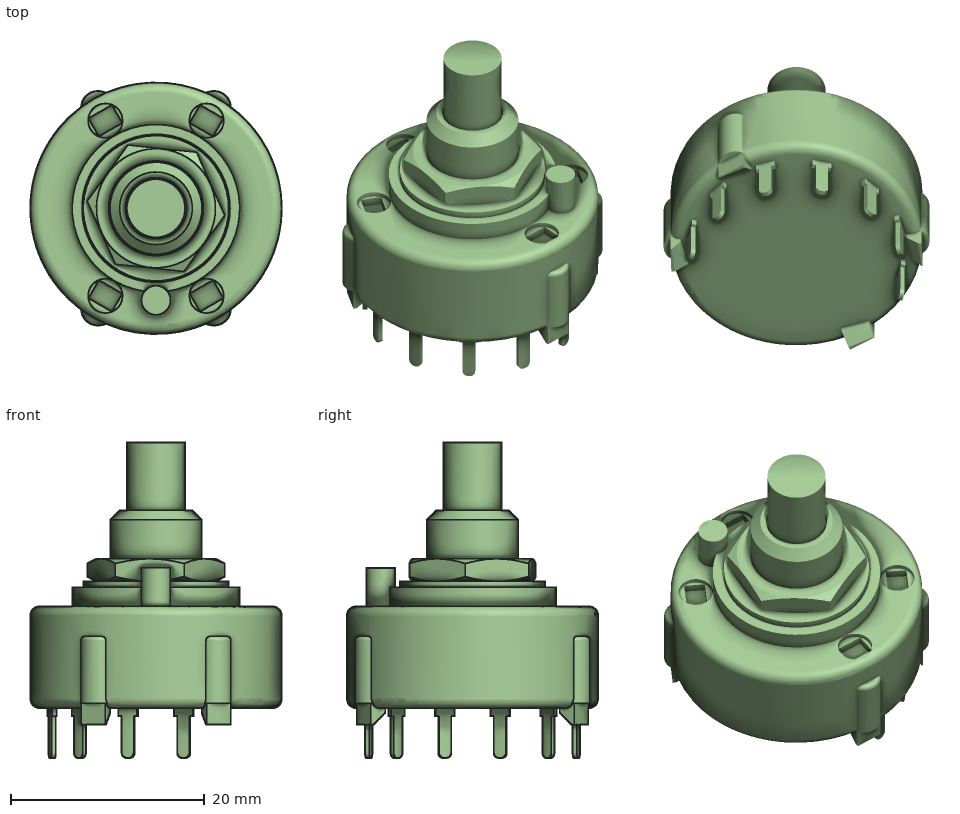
import cadquery as cq
import math

OVERLAP = 0.4

HOUSING_D = 26.0
HOUSING_H = 10.53
HOUSING_EDGE_R = 1.0

FLANGE_D = 17.3
FLANGE_TOP = 12.5
SEAT_D = 15.3
SEAT_DEPTH = 0.3

WASHER_D = 15.0
WASHER_TOP = FLANGE_TOP + 0.6
NUT_CORNER_D = 14.3
NUT_FACE_D = 12.3
NUT_H = 2.35
NUT_CHAMFER_H = 0.5
NUT_TURN = -6.0
NUT_BORE_D = 9.8
NUT_BORE_DEPTH = 0.3
NUT_TOP = WASHER_TOP + NUT_H
BUSHING_D = 9.5
BUSHING_TOP = 20.45
BUSHING_CHAMFER = 1.0
BORE_D = 6.35
BORE_DEPTH = 1.0
SHAFT_D = 6.0
SHAFT_TOP = 27.46

POST_D = 3.0
POST_Y = -9.5
POST_TOP = 14.5

LEG_ANGLE = 60
RIB_D = 3.55
RIB_CENTER_R = 11.95
RIB_TOP = 7.45
RIB_EDGE_R = 0.45
FOOT_TOP = 0.5
FOOT_BOTTOM = -1.7
FOOT_W = 2.9
HOOK_Z = -0.45
LONG_SIDE_HOOK_L = 1.75
LONG_SIDE_TOE_L = 0.35
SHORT_SIDE_HOOK_L = 1.05
SHORT_SIDE_TOE_L = 0.12
FOOT_FACE_R = RIB_CENTER_R + math.sqrt((RIB_D / 2) ** 2 - (FOOT_W / 2) ** 2)
WINDOW_CENTER_R = 10.45
WINDOW_RECESS_DEPTH = 0.5
WINDOW_W = 2.8
WINDOW_L = 2.15
WINDOW_DEPTH = WINDOW_RECESS_DEPTH + 0.9

PIN_CIRCLE_R = 11.1
PIN_FIRST_ANGLE = 75
PIN_PITCH = 30
PIN_COUNT = 7
PIN_W = 1.3
PIN_T = 0.47
PIN_TIP_R = 0.57
PIN_BOTTOM = -5.15
SHOULDER_W = 2.0
SHOULDER_BOTTOM = -0.8


def cylinder(diameter, bottom, top):
    return cq.Workplane("XY").workplane(offset=bottom).circle(diameter / 2).extrude(top - bottom)


def box(length, width, bottom, top):
    return cq.Workplane("XY").workplane(offset=bottom).rect(length, width).extrude(top - bottom)


def placed(shape, angle):
    """Turn a shape built along +X to its angle around the shaft axis."""
    return shape.rotate((0, 0, 0), (0, 0, 1), angle)


def make_housing():
    drum = cylinder(HOUSING_D, 0, HOUSING_H).edges().fillet(HOUSING_EDGE_R)
    flange = cylinder(FLANGE_D, HOUSING_H - OVERLAP, FLANGE_TOP)
    seat = cylinder(SEAT_D, FLANGE_TOP - SEAT_DEPTH, FLANGE_TOP)
    post = cylinder(POST_D, HOUSING_H - OVERLAP, POST_TOP).translate((0, POST_Y, 0))
    return drum.union(flange).cut(seat).union(post)


def make_nut():
    """Hexagon nut whose corners are trimmed by a cone at both faces."""
    hexagon = (
        cq.Workplane("XY")
        .workplane(offset=WASHER_TOP)
        .polygon(6, NUT_CORNER_D)
        .extrude(NUT_H)
    )
    corner_trim = (NUT_CORNER_D - NUT_FACE_D) / 2
    envelope = cylinder(NUT_CORNER_D, WASHER_TOP, NUT_TOP)
    envelope = envelope.faces(">Z").chamfer(NUT_CHAMFER_H, corner_trim)
    envelope = envelope.faces("<Z").chamfer(NUT_CHAMFER_H, corner_trim)
    bore = cylinder(NUT_BORE_D, NUT_TOP - NUT_BORE_DEPTH, NUT_TOP)
    return hexagon.intersect(envelope).cut(bore).rotate((0, 0, 0), (0, 0, 1), NUT_TURN)


def make_spindle():
    """Washer, nut, bushing and shaft."""
    washer = cylinder(WASHER_D, FLANGE_TOP - SEAT_DEPTH - OVERLAP, WASHER_TOP)
    bushing = cylinder(BUSHING_D, WASHER_TOP - OVERLAP, BUSHING_TOP)
    bushing = bushing.faces(">Z").chamfer(BUSHING_CHAMFER)
    bore = cylinder(BORE_D, BUSHING_TOP - BORE_DEPTH, BUSHING_TOP)
    shaft = cylinder(SHAFT_D, BUSHING_TOP - BORE_DEPTH - OVERLAP, SHAFT_TOP)
    return washer.union(make_nut()).union(bushing).cut(bore).union(shaft)


def foot_outline(z, long_side, short_side):
    """Foot section at one height; its two sides reach inwards by different lengths."""
    return (
        cq.Workplane("XY")
        .workplane(offset=z)
        .moveTo(FOOT_FACE_R, -FOOT_W / 2)
        .lineTo(FOOT_FACE_R, FOOT_W / 2)
        .lineTo(FOOT_FACE_R - short_side, FOOT_W / 2)
        .lineTo(FOOT_FACE_R - long_side, -FOOT_W / 2)
        .close()
    )


def make_leg():
    rib = cylinder(RIB_D, FOOT_TOP, RIB_TOP).faces(">Z").edges().fillet(RIB_EDGE_R)
    rib = rib.translate((RIB_CENTER_R, 0, 0))
    hook_block = foot_outline(HOOK_Z, LONG_SIDE_HOOK_L, SHORT_SIDE_HOOK_L).extrude(FOOT_TOP - HOOK_Z)
    toe = foot_outline(FOOT_BOTTOM, LONG_SIDE_TOE_L, SHORT_SIDE_TOE_L).wires().val()
    hook = foot_outline(HOOK_Z, LONG_SIDE_HOOK_L, SHORT_SIDE_HOOK_L).wires().val()
    slope = cq.Workplane("XY").add(cq.Solid.makeLoft([toe, hook], True))
    return rib.union(hook_block).union(slope)


def make_window():
    """Round recess with a rectangular pocket inscribed in it, as a cutting tool."""
    recess = cylinder(RIB_D, HOUSING_H - WINDOW_RECESS_DEPTH, HOUSING_H)
    pocket = box(WINDOW_L, WINDOW_W, HOUSING_H - WINDOW_DEPTH, HOUSING_H)
    return recess.union(pocket).translate((WINDOW_CENTER_R, 0, 0))


def make_pin():
    blade = box(PIN_T, PIN_W, PIN_BOTTOM, OVERLAP)
    blade = blade.faces("<Z").edges("|X").fillet(PIN_TIP_R)
    shoulder = box(PIN_T, SHOULDER_W, SHOULDER_BOTTOM, OVERLAP)
    return blade.union(shoulder).translate((PIN_CIRCLE_R, 0, 0))


def in_four_quadrants(shape):
    """The shape and its mirror images in the XZ and YZ planes."""
    pair = [shape, shape.mirror("YZ")]
    return pair + [half.mirror("XZ") for half in pair]


result = make_housing()
for leg in in_four_quadrants(placed(make_leg(), LEG_ANGLE)):
    result = result.union(leg)
for window in in_four_quadrants(placed(make_window(), LEG_ANGLE)):
    result = result.cut(window)
for pin_index in range(PIN_COUNT):
    result = result.union(placed(make_pin(), PIN_FIRST_ANGLE + pin_index * PIN_PITCH))
result = result.union(make_spindle())